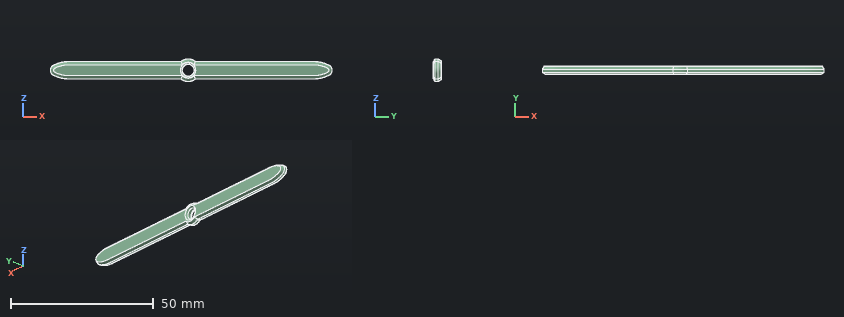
import cadquery as cq
import math

length = 98.9
thickness = 3.0
blade_height = 6.2
half_length = length / 2
half_height = blade_height / 2

nose_radius = 2.0
flank_radius = 11.9

hub_x = -1.1
hub_radius = 4.005
hole_radius = 2.1
countersink_radius = 2.7
countersink_depth = 0.8

front_inset = 1.2
front_depth = 0.7
back_inset = 0.7
back_depth = 1.2
front_y = -thickness / 2
back_y = thickness / 2


def xz_plane(y):
    """Plane at the given Y, with local axes X and Z, facing -Y."""
    return cq.Workplane("XZ", origin=(0, y, 0))


def blade_outline(y):
    """Straight-sided blade outline with a tangent-arc point at each end."""
    nose_x = half_length - nose_radius
    flank_drop = flank_radius - half_height
    center_distance = flank_radius - nose_radius
    shoulder_x = nose_x - math.sqrt(center_distance**2 - flank_drop**2)
    join_angle = math.asin(flank_drop / center_distance)
    join_x = nose_x + nose_radius * math.cos(join_angle)
    join_z = nose_radius * math.sin(join_angle)
    middle_angle = (join_angle + math.pi / 2) / 2
    flank_x = shoulder_x + flank_radius * math.cos(middle_angle)
    flank_z = flank_radius * math.sin(middle_angle) - flank_drop
    return (
        xz_plane(y)
        .moveTo(-shoulder_x, half_height)
        .lineTo(shoulder_x, half_height)
        .threePointArc((flank_x, flank_z), (join_x, join_z))
        .threePointArc((half_length, 0), (join_x, -join_z))
        .threePointArc((flank_x, -flank_z), (shoulder_x, -half_height))
        .lineTo(-shoulder_x, -half_height)
        .threePointArc((-flank_x, -flank_z), (-join_x, -join_z))
        .threePointArc((-half_length, 0), (-join_x, join_z))
        .threePointArc((-flank_x, flank_z), (-shoulder_x, half_height))
        .close()
    )


def hub_outline(y):
    return xz_plane(y).center(hub_x, 0).circle(hub_radius)


def beveled_plate(outline):
    """Straight band around the outline, tapering to the front and back faces."""
    band_front = front_y + front_depth
    band_back = back_y - back_depth
    front_taper = math.degrees(math.atan(front_inset / front_depth))
    back_taper = math.degrees(math.atan(back_inset / back_depth))
    band = outline(band_back).extrude(band_back - band_front)
    front = outline(band_front).extrude(front_depth, taper=front_taper)
    back = outline(band_back).extrude(-back_depth, taper=back_taper)
    return band.union(front).union(back)


def hub_hole():
    """Through hole with a countersink on both faces."""
    hole = xz_plane(back_y).center(hub_x, 0).circle(hole_radius).extrude(thickness)
    taper = math.degrees(math.atan((countersink_radius - hole_radius) / countersink_depth))
    for face_y, inward in ((front_y, -1), (back_y, 1)):
        mouth = xz_plane(face_y).center(hub_x, 0).circle(countersink_radius)
        hole = hole.union(mouth.extrude(inward * countersink_depth, taper=taper))
    return hole


result = beveled_plate(blade_outline).union(beveled_plate(hub_outline)).cut(hub_hole())